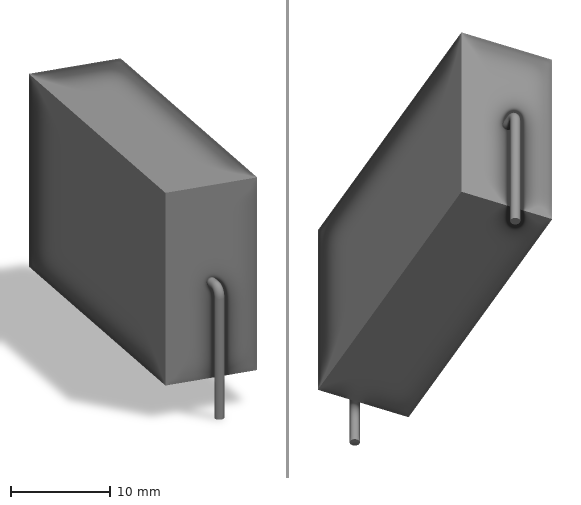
import cadquery as cq

span = 39.1

housing_length = 34.1
housing_depth = 10.1
housing_height = 21.0

wire_diameter = 1.0
bend_radius = 0.9
lead_drop = 3.6
lead_exit_height = 10.48

wire_radius = wire_diameter / 2
housing_end = housing_length / 2
lead_axis_x = span / 2 - wire_radius


def make_housing():
    return cq.Workplane("XY").box(
        housing_length, housing_depth, housing_height, centered=(True, True, False)
    )


def make_lead(side):
    """One lead on the -X (side = -1) or +X (side = +1) end of the housing."""
    path = (
        cq.Workplane("XZ")
        .moveTo(side * housing_end, lead_exit_height)
        .lineTo(side * (lead_axis_x - bend_radius), lead_exit_height)
        .tangentArcPoint((side * bend_radius, -bend_radius))
        .lineTo(side * lead_axis_x, -lead_drop)
    )
    section = cq.Workplane("YZ", origin=(side * housing_end, 0, lead_exit_height)).circle(wire_radius)
    return section.sweep(path)


housing = make_housing()
leads = [make_lead(side) for side in (-1, 1)]

result = cq.Compound.makeCompound([housing.val(), *[lead.val() for lead in leads]])